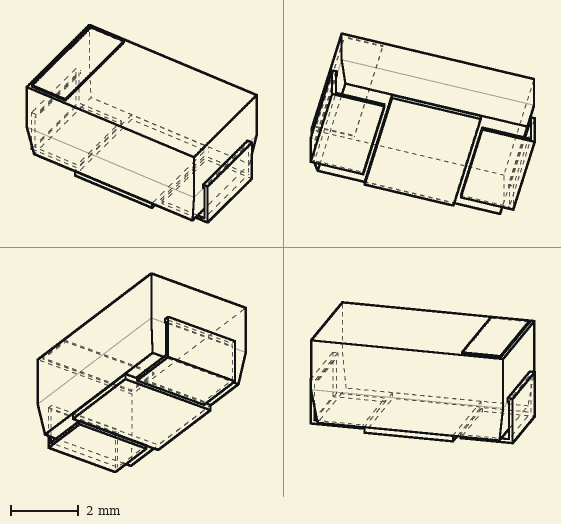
import cadquery as cq

housing_length = 5.89
housing_width = 3.4
housing_bottom = 0.18
parting_height = 1.26
housing_top = 2.81
taper_inset = 0.155

pad_length = 2.715
pad_width = 3.06

mark_length = 1.18
mark_inset = 0.11
mark_thickness = 0.045

overall_length = 6.2
terminal_width = 2.4
terminal_thickness = 0.12
terminal_height = 1.395
foot_length = 1.605


def make_housing():
    upper = (
        cq.Workplane("XY")
        .workplane(offset=parting_height)
        .rect(housing_length, housing_width)
        .extrude(housing_top - parting_height)
    )
    lower = (
        cq.Workplane("XY")
        .workplane(offset=housing_bottom)
        .rect(housing_length - 2 * taper_inset, housing_width - 2 * taper_inset)
        .workplane(offset=parting_height - housing_bottom)
        .rect(housing_length, housing_width)
        .loft(ruled=True)
    )
    pad = cq.Workplane("XY").rect(pad_length, pad_width).extrude(housing_bottom)
    return upper.union(lower).union(pad)


def make_polarity_mark():
    mark_center_x = -housing_length / 2 + mark_inset + mark_length / 2
    return (
        cq.Workplane("XY")
        .workplane(offset=housing_top)
        .center(mark_center_x, 0)
        .rect(mark_length, housing_width - 2 * mark_inset)
        .extrude(mark_thickness)
    )


def make_terminal(side):
    """Terminal at the +X (side = 1) or -X (side = -1) end, its top lip touching the housing."""
    outer_x = side * overall_length / 2
    inner_x = side * (overall_length / 2 - terminal_thickness)
    lip_x = side * housing_length / 2
    foot_end_x = side * (overall_length / 2 - foot_length)
    lip_bottom = terminal_height - terminal_thickness
    return (
        cq.Workplane("XZ")
        .moveTo(foot_end_x, 0)
        .lineTo(outer_x, 0)
        .lineTo(outer_x, terminal_height)
        .lineTo(lip_x, terminal_height)
        .lineTo(lip_x, lip_bottom)
        .lineTo(inner_x, lip_bottom)
        .lineTo(inner_x, terminal_thickness)
        .lineTo(foot_end_x, terminal_thickness)
        .close()
        .extrude(terminal_width / 2, both=True)
    )


housing = make_housing()
polarity_mark = make_polarity_mark()
terminals = [make_terminal(side).val() for side in (-1, 1)]

result = cq.Compound.makeCompound([housing.val(), polarity_mark.val(), *terminals])